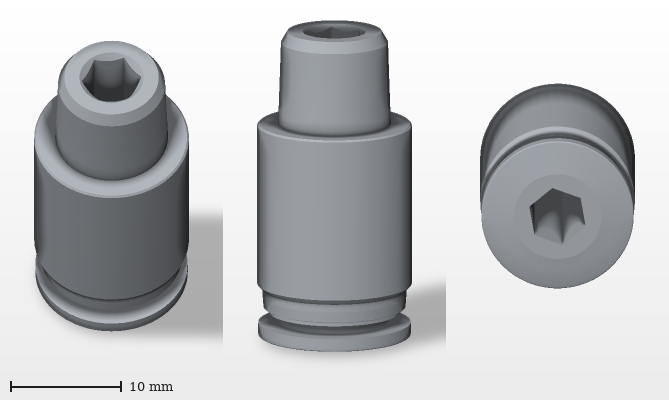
import cadquery as cq
import math

TOTAL_HEIGHT = 28.7
FLANGE_BOTTOM = 0.52
FLANGE_TOP = 1.7
STEP_BOTTOM = 2.6
COLLAR_BOTTOM = 3.13
COLLAR_TAPER_START = 4.08
COLLAR_TOP = 4.8
BODY_TOP = 20.15

BOTTOM_FLAT_DIAMETER = 7.95
FLANGE_DIAMETER = 13.8
NECK_DIAMETER = 9.33
STEP_DIAMETER = 12.0
COLLAR_DIAMETER = 13.0
COLLAR_END_DIAMETER = 12.85
BODY_DIAMETER = 14.0
NOSE_BASE_DIAMETER = 10.22
NOSE_END_DIAMETER = 9.7

RIM_FILLET = 0.15
NECK_FILLET = 0.37
STEP_CHAMFER = 0.05
BODY_TOP_CHAMFER = 0.17
NOSE_CHAMFER_HEIGHT = 1.0
NOSE_CHAMFER_ANGLE = math.radians(30)

HEX_ACROSS_FLATS = 4.7
LEAD_IN_DIAMETER = 5.8
LEAD_IN_SLOPE = math.radians(45)


def make_turned_body():
    """Revolve the half profile, with radius along X and height along Z."""
    flat_radius = BOTTOM_FLAT_DIAMETER / 2
    flange_radius = FLANGE_DIAMETER / 2
    neck_radius = NECK_DIAMETER / 2
    step_radius = STEP_DIAMETER / 2
    collar_radius = COLLAR_DIAMETER / 2
    body_radius = BODY_DIAMETER / 2
    nose_radius = NOSE_END_DIAMETER / 2
    nose_tip_radius = nose_radius - NOSE_CHAMFER_HEIGHT * math.tan(NOSE_CHAMFER_ANGLE)
    body_bottom = COLLAR_TOP + body_radius - collar_radius

    return (
        cq.Workplane("XZ")
        .lineTo(flat_radius, 0)
        .lineTo(flange_radius, FLANGE_BOTTOM)
        .lineTo(flange_radius, FLANGE_TOP)
        .lineTo(neck_radius + NECK_FILLET, FLANGE_TOP)
        .tangentArcPoint((neck_radius, FLANGE_TOP + NECK_FILLET), relative=False)
        .lineTo(neck_radius, STEP_BOTTOM)
        .lineTo(step_radius - STEP_CHAMFER, STEP_BOTTOM)
        .lineTo(step_radius, STEP_BOTTOM + STEP_CHAMFER)
        .lineTo(step_radius, COLLAR_BOTTOM)
        .lineTo(COLLAR_END_DIAMETER / 2, COLLAR_BOTTOM)
        .lineTo(collar_radius, COLLAR_TAPER_START)
        .lineTo(collar_radius, COLLAR_TOP)
        .lineTo(body_radius, body_bottom)
        .lineTo(body_radius, BODY_TOP - BODY_TOP_CHAMFER)
        .lineTo(body_radius - BODY_TOP_CHAMFER, BODY_TOP)
        .lineTo(NOSE_BASE_DIAMETER / 2, BODY_TOP)
        .lineTo(nose_radius, TOTAL_HEIGHT - NOSE_CHAMFER_HEIGHT)
        .lineTo(nose_tip_radius, TOTAL_HEIGHT)
        .lineTo(0, TOTAL_HEIGHT)
        .close()
        .revolve(360, (0, 0, 0), (0, 1, 0))
    )


def make_hex_socket():
    """Through hexagon with corners on the Y axis."""
    hex_corner_diameter = HEX_ACROSS_FLATS / math.cos(math.pi / 6)
    return (
        cq.Workplane("XY")
        .transformed(rotate=(0, 0, 90))
        .polygon(6, hex_corner_diameter)
        .extrude(TOTAL_HEIGHT)
    )


def make_lead_in():
    """Cone that opens the socket at the top face."""
    lead_in_radius = LEAD_IN_DIAMETER / 2
    cone_depth = lead_in_radius * math.tan(LEAD_IN_SLOPE)
    return (
        cq.Workplane("XZ")
        .moveTo(0, TOTAL_HEIGHT)
        .lineTo(lead_in_radius, TOTAL_HEIGHT)
        .lineTo(0, TOTAL_HEIGHT - cone_depth)
        .close()
        .revolve(360, (0, 0, 0), (0, 1, 0))
    )


def round_flange_rim(body):
    """Round the sharp edge between the flange side and its conical underside."""
    rim_center = (0, 0, FLANGE_BOTTOM)
    return body.edges("%CIRCLE").edges(cq.NearestToPointSelector(rim_center)).fillet(RIM_FILLET)


turned_body = round_flange_rim(make_turned_body())
result = turned_body.cut(make_hex_socket()).cut(make_lead_in())